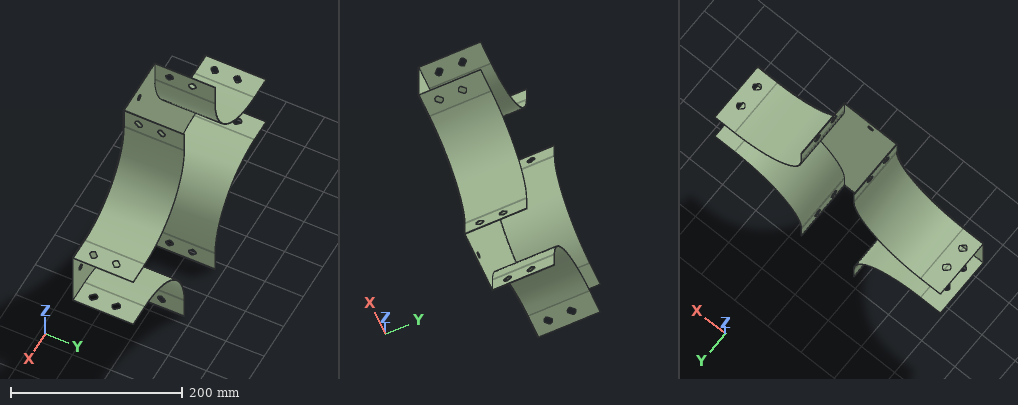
import cadquery as cq
import math

span = 340.0
arm_width = 80.0
wall_height = 80.0
sheet = 1.0
straight_length = 30.0

plate_hole_diameter = 7.0
plate_hole_from_tip = 20.0

slot_width = 7.0
slot_length = 10.0
slot_tilt = 45.0
slot_from_tip = 15.0
slot_heights = (20.0, 50.0)

half_span = span / 2
half_width = arm_width / 2
bend_center = half_span - straight_length
bend_radius = bend_center - half_width
cutter_reach = 2 * sheet
arm_angles = (0, 90, 180, 270)


def cross(inset):
    """Solid cross of full wall height, its arm sides and bends moved inward by inset."""
    side = half_width - inset
    radius = bend_radius + inset
    corner = (
        cq.Workplane("XZ")
        .moveTo(half_span, side)
        .lineTo(bend_center, side)
        .radiusArc((side, bend_center), radius)
        .lineTo(side, half_span)
        .lineTo(half_span, half_span)
        .close()
        .extrude(-wall_height)
    )
    body = cq.Workplane("XZ").rect(span, span).extrude(-wall_height)
    for angle in arm_angles:
        body = body.cut(corner.rotate((0, 0, 0), (0, 1, 0), angle))
    return body


def plate_hole():
    """Cutter for the plate hole of the arm pointing to -X."""
    return (
        cq.Workplane("XZ")
        .center(plate_hole_from_tip - half_span, 0)
        .circle(plate_hole_diameter / 2)
        .extrude(cutter_reach, both=True)
    )


def wall_slot(height, side):
    """Cutter for one slot of the -X arm; side is +1 for its +Z wall and -1 for its -Z wall."""
    half_slot = slot_length / 2
    half_flat_gap = slot_width / 2
    flat_end = math.sqrt(half_slot**2 - half_flat_gap**2)
    slot = (
        cq.Workplane("XY")
        .moveTo(-flat_end, -half_flat_gap)
        .lineTo(flat_end, -half_flat_gap)
        .threePointArc((half_slot, 0), (flat_end, half_flat_gap))
        .lineTo(-flat_end, half_flat_gap)
        .threePointArc((-half_slot, 0), (-flat_end, -half_flat_gap))
        .close()
        .extrude(cutter_reach, both=True)
    )
    tilted = slot.rotate((0, 0, 0), (0, 0, 1), side * slot_tilt)
    return tilted.translate((slot_from_tip - half_span, height, side * half_width))


cavity = cross(sheet).translate((0, sheet, 0))
result = cross(0).cut(cavity)

arm_cutters = [plate_hole()]
for slot_height in slot_heights:
    for wall_side in (-1, 1):
        arm_cutters.append(wall_slot(slot_height, wall_side))

for arm_angle in arm_angles:
    for cutter in arm_cutters:
        result = result.cut(cutter.rotate((0, 0, 0), (0, 1, 0), arm_angle))